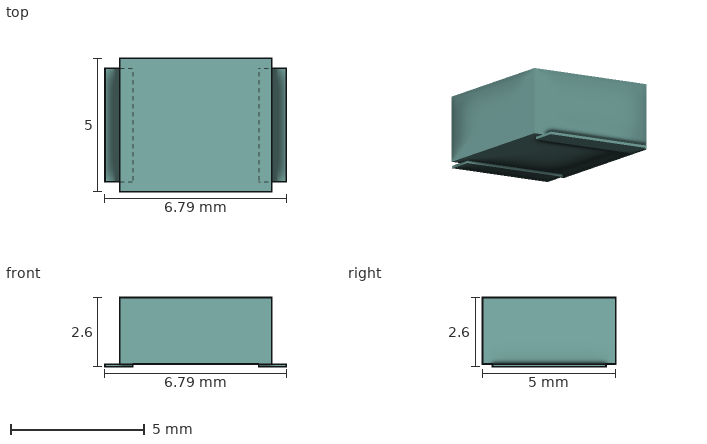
import cadquery as cq

overall_length = 6.79
overall_height = 2.6

terminal_length = 1.04
terminal_width = 4.25
terminal_thickness = 0.095

body_length = 5.705
body_width = 5.0
body_height = overall_height - terminal_thickness


def make_body():
    """Plain block resting on top of the terminals."""
    return (
        cq.Workplane("XY")
        .workplane(offset=terminal_thickness)
        .rect(body_length, body_width)
        .extrude(body_height)
    )


def make_terminal(side):
    """Flat plate under one end of the body; side is -1 or +1 along X."""
    center_x = side * (overall_length - terminal_length) / 2
    return (
        cq.Workplane("XY")
        .center(center_x, 0)
        .rect(terminal_length, terminal_width)
        .extrude(terminal_thickness)
    )


body = make_body()
terminals = [make_terminal(side) for side in (-1, 1)]

result = cq.Compound.makeCompound([body.val(), *[terminal.val() for terminal in terminals]])